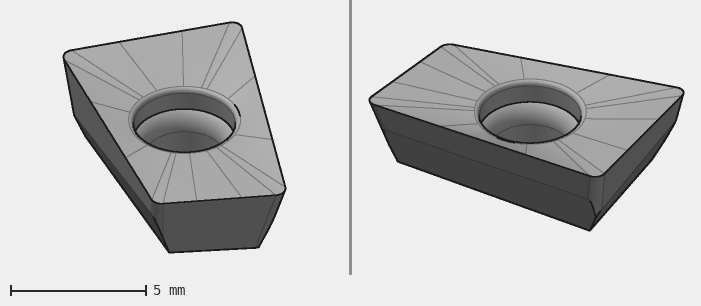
import cadquery as cq
import math

FRONT_LEFT, FRONT_RIGHT, BACK_RIGHT, BACK_LEFT = range(4)
top_corners = [(-0.08, 0), (9.52, 0), (10.93, 4.73), (0.86, 6.81)]
base_corners = [(1.16, 0.53), (9.0, 0.79), (9.94, 3.98), (1.7, 5.56)]

top_height = 3.15
top_slope_x = -0.035
top_slope_y = 0.041
corner_radius = 0.4

front_relief = 0.096
left_relief = 0.19
back_relief = 0.22
front_break_height = 0.72
left_break_height = 2.11
back_break_height = 2.09

hole_center = (5.06, 2.94)
rim_height = 2.82
rim_radius = 2.07
wall_radius = 1.89
hole_radius = 1.47
wall_bottom = 1.9
seat_bottom = 1.17

side_divisions = (0, 0.3, 0.7, 1)

corner_zone = ((-21.68, -21.68, 0.54), (21.68, 21.68, 2.38))

block_size = 32.52


def top_z(x, y):
    return top_height + top_slope_x * x + top_slope_y * y


def top_point(corner):
    x, y = top_corners[corner]
    return cq.Vector(x, y, top_z(x, y))


def base_point(corner):
    return cq.Vector(*base_corners[corner], 0)


def flank_point(start, end, relief, height):
    """Point on a relieved upper flank, below the start of its cutting edge."""
    edge = top_point(end) - top_point(start)
    inward = cq.Vector(-edge.y, edge.x, 0).normalized()
    depth = top_point(start).z - height
    return top_point(start) + inward * (relief * depth) - cq.Vector(0, 0, depth)


def trim(body, start, end, third):
    """Remove everything outside the plane through three points.

    The outside is to the right when going from start to end.
    """
    outward = (third - start).cross(end - start).normalized()
    plane = cq.Plane(origin=start, xDir=end - start, normal=outward)
    waste = cq.Workplane(plane).rect(2 * block_size, 2 * block_size).extrude(block_size)
    return body.cut(waste)


def make_upper_body():
    body = cq.Workplane().box(block_size, block_size, block_size / 2, centered=(True, True, False))
    for start, end, relief in (
        (FRONT_LEFT, FRONT_RIGHT, front_relief),
        (BACK_RIGHT, BACK_LEFT, back_relief),
        (BACK_LEFT, FRONT_LEFT, left_relief),
    ):
        body = trim(body, top_point(start), top_point(end), flank_point(start, end, relief, 0))
    body = trim(body, top_point(FRONT_RIGHT), top_point(BACK_RIGHT), base_point(FRONT_RIGHT))
    normal = cq.Vector(-top_slope_x, -top_slope_y, 1)
    top_plane = cq.Plane(origin=(0, 0, top_height), normal=normal)
    body = body.cut(cq.Workplane(top_plane).rect(2 * block_size, 2 * block_size).extrude(block_size))
    corner_edges = cq.selectors.BoxSelector(*corner_zone, boundingbox=False)
    return body.edges(corner_edges).fillet(corner_radius)


def trim_lower_flanks(body):
    front_break = flank_point(FRONT_LEFT, FRONT_RIGHT, front_relief, front_break_height)
    back_break = flank_point(BACK_LEFT, BACK_RIGHT, -back_relief, back_break_height)
    left_break = flank_point(FRONT_LEFT, BACK_LEFT, -left_relief, left_break_height)
    for start, end, break_point in (
        (FRONT_LEFT, FRONT_RIGHT, front_break),
        (BACK_RIGHT, BACK_LEFT, back_break),
        (BACK_LEFT, FRONT_LEFT, left_break),
    ):
        body = trim(body, base_point(start), base_point(end), base_point(start) * 2 - break_point)
    return body


def rim_point(angle):
    x, y = hole_center
    return cq.Vector(x + rim_radius * math.cos(angle), y + rim_radius * math.sin(angle), rim_height)


def angle_about_hole(point):
    return math.atan2(point.y - hole_center[1], point.x - hole_center[0])


def outline_pieces(edge):
    """Curves along one outline edge: corner arcs whole, straight sides in three."""
    if edge.geomType() != "LINE":
        return [edge.trim(*edge.bounds())]
    points = edge.positions(side_divisions)
    return [cq.Edge.makeLine(a, b) for a, b in zip(points, points[1:])]


def rim_arc(first, last):
    """Arc of the hole rim facing the stretch of outline between two points."""
    start = angle_about_hole(first)
    sweep = math.remainder(angle_about_hole(last) - start, 2 * math.pi)
    points = [rim_point(start + sweep * part) for part in (0, 0.5, 1)]
    return cq.Edge.makeThreePointArc(*points)


def make_dish(outline_face):
    """Solid between the flat outline face and ruled facets falling to the hole rim."""
    edges = outline_face.outerWire().Edges()
    pieces = [piece for edge in edges for piece in outline_pieces(edge)]
    rim_arcs = [rim_arc(piece.startPoint(), piece.endPoint()) for piece in pieces]
    facets = [cq.Face.makeRuledSurface(piece, arc) for piece, arc in zip(pieces, rim_arcs)]
    lid = cq.Face.makeFromWires(cq.Wire.assembleEdges(pieces))
    floor = cq.Face.makeFromWires(cq.Wire.assembleEdges(rim_arcs))
    shell = cq.Shell.makeShell([lid, floor] + facets)
    return cq.Solid.makeSolid(shell).fix()


def make_hole():
    """Screw hole: rounded rim, straight wall, curved screw seat, through bore."""
    lip = rim_radius - wall_radius
    seat_width = wall_radius - hole_radius
    seat_depth = wall_bottom - seat_bottom
    profile = (
        cq.Workplane("XZ")
        .lineTo(hole_radius, 0)
        .lineTo(hole_radius, seat_bottom)
        .tangentArcPoint((seat_width, seat_depth))
        .lineTo(wall_radius, rim_height - lip)
        .radiusArc((rim_radius, rim_height), lip)
        .lineTo(rim_radius, block_size)
        .lineTo(0, block_size)
        .close()
    )
    return profile.revolve(360, (0, 0), (0, 1)).translate((*hole_center, 0))


upper_body = make_upper_body()
dish = make_dish(upper_body.faces(">Z").val())
result = trim_lower_flanks(upper_body).cut(cq.Workplane(dish)).cut(make_hole())